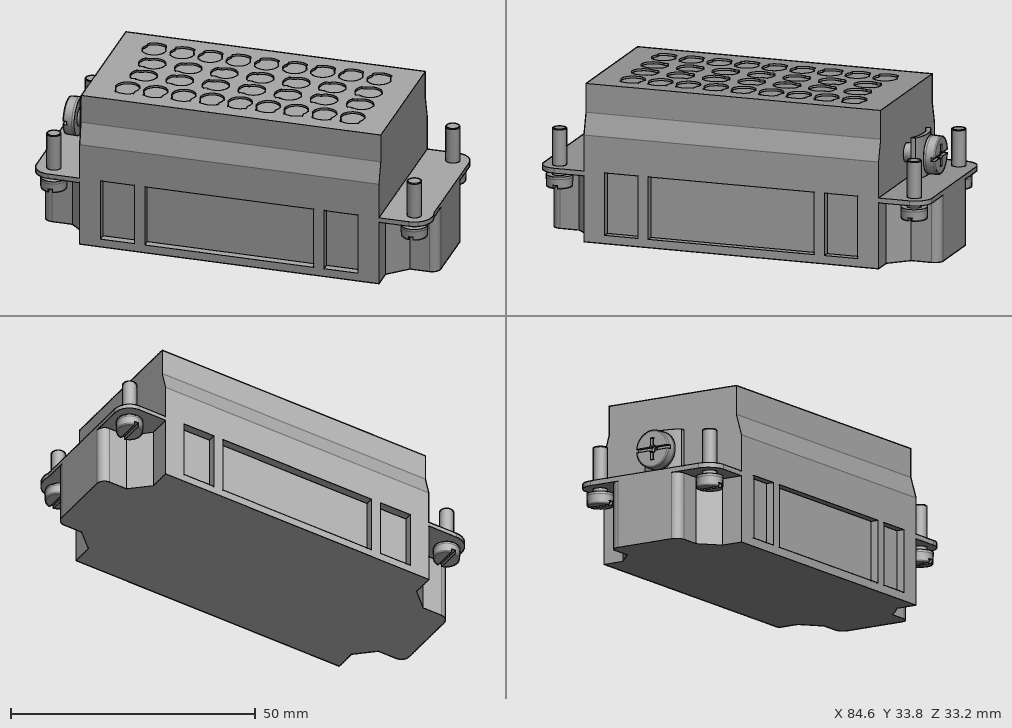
import cadquery as cq

HEIGHT = 33.2
BODY_LENGTH = 63.95
BODY_WIDTH = 33.8
TOP_WIDTH = 31.3
SLOPE_START_Z = 22.6
SLOPE_END_Z = 27.1

PLATE_TOP_Z = 15.0
PLATE_THICKNESS = 1.0
PLATE_LEFT_X = -42.3
PLATE_RIGHT_X = 42.05
PLATE_CORNER_RADIUS = 3.6
BULGE_RADIUS = 4.0
BULGE_REACH_X = 42.3

BLOCK_HALF_WIDTH = 8.5
BLOCK_CORNER_RADIUS = 1.9
FLARE_OUTER_X = 36.0
FLARE_HALF_WIDTH = 12.3

POCKET_DEPTH = 1.7
POCKET_BOTTOM_Z = 1.8
SMALL_POCKET_X = 23.85
SMALL_POCKET_LENGTH = 7.2
LARGE_POCKET_LENGTH = 36.0

BORE_DIAMETER = 5.0
NOTCH_WIDTH = 4.0
NOTCH_END_RADIUS = 3.1
OPENING_DEPTH = 0.4
OUTER_COUNT = 9
OUTER_PITCH = 6.0
OUTER_ROW_Y = 9.2
INNER_COUNT = 7
INNER_PITCH = 7.7
INNER_ROW_Y = 3.0
INNER_ROW_CENTRE_X = 0.9

FIXING_X = 38.5
FIXING_Y = 13.45
FIXING_DIAMETER = 3.0
FIXING_TIP_DIAMETER = 2.6
FIXING_TIP_Z = 22.75
FIXING_HEAD_DIAMETER = 5.5
FIXING_HEAD_TOP_Z = 12.95
FIXING_HEAD_HEIGHT = 2.5
FIXING_SLOT_DEPTH = 0.8
FIXING_SLOT_WIDTH = 0.9
HEAD_RIM = 0.5
HEAD_DRAFT = 0.1
HEAD_FILLET = 0.25

EARTH_Z = 20.5
EARTH_SHANK_DIAMETER = 4.0
EARTH_HEAD_DIAMETER = 8.0
EARTH_HEAD_INNER_X = -37.05
EARTH_HEAD_HEIGHT = 2.45
EARTH_SLOT_WIDTH = 0.8
EARTH_SLOT_DEPTH = 0.85
EARTH_RECESS_DEPTH = 1.5
CROSS_ARM_LENGTH = 4.6
RECESS_DIAMETER = 1.7
RECESS_FLOOR_DIAMETER = 0.9
CLAMP_WIDTH = 9.0
CLAMP_HEIGHT = 8.7
CLAMP_THICKNESS = 1.0
CLAMP_FRONT_X = -36.6
CLAMP_BOW = 1.1


def make_body():
    half_base = BODY_WIDTH / 2
    half_top = TOP_WIDTH / 2
    return (
        cq.Workplane("YZ", origin=(-BODY_LENGTH / 2, 0, 0))
        .polyline([
            (-half_base, 0),
            (half_base, 0),
            (half_base, SLOPE_START_Z),
            (half_top, SLOPE_END_Z),
            (half_top, HEIGHT),
            (-half_top, HEIGHT),
            (-half_top, SLOPE_END_Z),
            (-half_base, SLOPE_START_Z),
        ])
        .close()
        .extrude(BODY_LENGTH)
    )


def make_plate():
    bottom_z = PLATE_TOP_Z - PLATE_THICKNESS
    length = PLATE_RIGHT_X - PLATE_LEFT_X
    plate = (
        cq.Workplane("XY", origin=((PLATE_LEFT_X + PLATE_RIGHT_X) / 2, 0, bottom_z))
        .rect(length, BODY_WIDTH)
        .extrude(PLATE_THICKNESS)
        .edges("|Z")
        .fillet(PLATE_CORNER_RADIUS)
    )
    bulge_x = BULGE_REACH_X - BULGE_RADIUS
    bulge_y = BULGE_RADIUS - BODY_WIDTH / 2
    bulge = (
        cq.Workplane("XY", origin=(bulge_x, bulge_y, bottom_z))
        .circle(BULGE_RADIUS)
        .extrude(PLATE_THICKNESS)
    )
    return plate.union(bulge)


def make_end_block(side):
    inner_x = side * BODY_LENGTH / 2
    end_x = PLATE_RIGHT_X if side > 0 else PLATE_LEFT_X
    flare_x = side * FLARE_OUTER_X
    block = (
        cq.Workplane("XY")
        .polyline([
            (0, -FLARE_HALF_WIDTH),
            (inner_x, -FLARE_HALF_WIDTH),
            (flare_x, -BLOCK_HALF_WIDTH),
            (end_x, -BLOCK_HALF_WIDTH),
            (end_x, BLOCK_HALF_WIDTH),
            (flare_x, BLOCK_HALF_WIDTH),
            (inner_x, FLARE_HALF_WIDTH),
            (0, FLARE_HALF_WIDTH),
        ])
        .close()
        .extrude(PLATE_TOP_Z)
    )
    outer_face = ">X" if side > 0 else "<X"
    return block.faces(outer_face).edges("|Z").fillet(BLOCK_CORNER_RADIUS)


def make_pockets():
    pocket_height = PLATE_TOP_Z - POCKET_BOTTOM_Z
    centre_z = (PLATE_TOP_Z + POCKET_BOTTOM_Z) / 2
    centre_and_length = [
        (-SMALL_POCKET_X, SMALL_POCKET_LENGTH),
        (0, LARGE_POCKET_LENGTH),
        (SMALL_POCKET_X, SMALL_POCKET_LENGTH),
    ]
    pockets = cq.Workplane("XY")
    for side in (-1, 1):
        centre_y = side * (BODY_WIDTH - POCKET_DEPTH) / 2
        for centre_x, length in centre_and_length:
            pocket = cq.Workplane("XY").box(length, POCKET_DEPTH, pocket_height)
            pockets = pockets.add(pocket.translate((centre_x, centre_y, centre_z)))
    return pockets.combine()


def make_opening():
    """Cutter for one contact opening: bore on the Z axis, key notch towards +X."""
    floor = cq.Workplane("XY", origin=(0, 0, HEIGHT - OPENING_DEPTH))
    bore = floor.circle(BORE_DIAMETER / 2).extrude(OPENING_DEPTH)
    notch_band = (
        floor.center(NOTCH_END_RADIUS / 2, 0)
        .rect(NOTCH_END_RADIUS, NOTCH_WIDTH)
        .extrude(OPENING_DEPTH)
    )
    notch = floor.circle(NOTCH_END_RADIUS).extrude(OPENING_DEPTH).intersect(notch_band)
    return bore.union(notch)


def opening_row(count, pitch, centre_x, row_y, notch_angle):
    first_x = centre_x - pitch * (count - 1) / 2
    opening = make_opening().rotate((0, 0, 0), (0, 0, 1), notch_angle)
    row = cq.Workplane("XY")
    for i in range(count):
        row = row.add(opening.translate((first_x + i * pitch, row_y, 0)))
    return row.combine()


def screw_head(diameter, height):
    """Head standing on the XY plane: a straight rim, then a slight taper to a rounded face."""
    radius = diameter / 2
    return (
        cq.Workplane("XZ")
        .polyline([
            (0, 0),
            (radius, 0),
            (radius, HEAD_RIM),
            (radius - HEAD_DRAFT, height),
            (0, height),
        ])
        .close()
        .revolve(360, (0, 0, 0), (0, 1, 0))
        .faces(">Z")
        .edges()
        .fillet(HEAD_FILLET)
    )


def make_fixing_screw():
    """Slotted screw pointing up, with its axis on Z."""
    slot = cq.Workplane("XY").box(FIXING_SLOT_WIDTH, FIXING_HEAD_DIAMETER, FIXING_SLOT_DEPTH * 2)
    head = (
        screw_head(FIXING_HEAD_DIAMETER, FIXING_HEAD_HEIGHT)
        .cut(slot.translate((0, 0, FIXING_HEAD_HEIGHT)))
        .rotate((0, 0, 0), (1, 0, 0), 180)
        .translate((0, 0, FIXING_HEAD_TOP_Z))
    )
    shank = (
        cq.Workplane("XY", origin=(0, 0, FIXING_HEAD_TOP_Z))
        .circle(FIXING_DIAMETER / 2)
        .extrude(FIXING_TIP_Z - FIXING_HEAD_TOP_Z)
        .faces(">Z")
        .chamfer((FIXING_DIAMETER - FIXING_TIP_DIAMETER) / 2)
    )
    return head.union(shank)


def make_clamp_plate():
    half_width = CLAMP_WIDTH / 2
    front_x = CLAMP_FRONT_X
    back_x = front_x + CLAMP_THICKNESS
    return (
        cq.Workplane("XY", origin=(0, 0, EARTH_Z - CLAMP_HEIGHT / 2))
        .moveTo(front_x + CLAMP_BOW, -half_width)
        .threePointArc((front_x, 0), (front_x + CLAMP_BOW, half_width))
        .lineTo(back_x + CLAMP_BOW, half_width)
        .threePointArc((back_x, 0), (back_x + CLAMP_BOW, -half_width))
        .close()
        .extrude(CLAMP_HEIGHT)
    )


def make_earth_screw():
    """Screw along X with a full-width slot, a short cross arm and a tapered centre recess."""
    face = EARTH_HEAD_HEIGHT
    slot_height = EARTH_SLOT_DEPTH * 2
    slot = cq.Workplane("XY").box(EARTH_SLOT_WIDTH, EARTH_HEAD_DIAMETER, slot_height)
    arm = cq.Workplane("XY").box(CROSS_ARM_LENGTH, EARTH_SLOT_WIDTH, slot_height)
    recess = (
        cq.Workplane("XY", origin=(0, 0, face))
        .circle(RECESS_DIAMETER / 2)
        .workplane(offset=-EARTH_RECESS_DEPTH)
        .circle(RECESS_FLOOR_DIAMETER / 2)
        .loft()
    )
    head = (
        screw_head(EARTH_HEAD_DIAMETER, face)
        .cut(slot.translate((0, 0, face)))
        .cut(arm.translate((0, 0, face)))
        .cut(recess)
        .rotate((0, 0, 0), (0, 1, 0), -90)
        .translate((EARTH_HEAD_INNER_X, 0, EARTH_Z))
    )
    shank = (
        cq.Workplane("YZ", origin=(EARTH_HEAD_INNER_X, 0, EARTH_Z))
        .circle(EARTH_SHANK_DIAMETER / 2)
        .extrude(-BODY_LENGTH / 2 - EARTH_HEAD_INNER_X)
    )
    return head.union(shank)


part = make_body().union(make_plate())
for side in (-1, 1):
    part = part.union(make_end_block(side))

part = part.cut(make_pockets())
for side in (-1, 1):
    row_y = side * INNER_ROW_Y
    outer_row = opening_row(OUTER_COUNT, OUTER_PITCH, 0, side * OUTER_ROW_Y, side * 90)
    inner_row = opening_row(INNER_COUNT, INNER_PITCH, INNER_ROW_CENTRE_X, row_y, 180)
    part = part.cut(outer_row).cut(inner_row)

fixing_screw = make_fixing_screw()
for x in (-FIXING_X, FIXING_X):
    for y in (-FIXING_Y, FIXING_Y):
        part = part.union(fixing_screw.translate((x, y, 0)))
result = part.union(make_earth_screw()).union(make_clamp_plate())